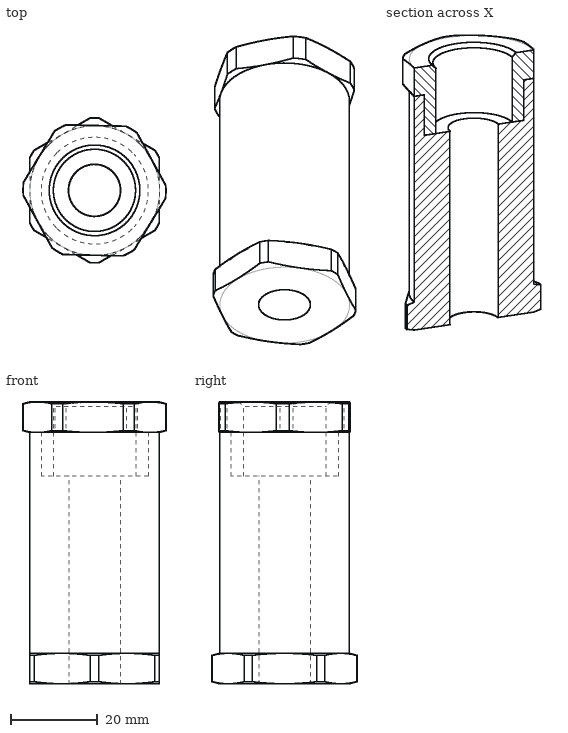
import cadquery as cq
import math

TOTAL_HEIGHT = 65.0
BODY_DIAMETER = 29.95

HEAD_HEIGHT = 7.0
ACROSS_FLATS = 29.95
ACROSS_CORNERS = ACROSS_FLATS / math.cos(math.pi / 6)
BASE_CORNER_DIAMETER = 33.5
CAP_CORNER_DIAMETER = 33.0
HEAD_CHAMFER_ANGLE = 15.0
BASE_TURN = 90.0
CAP_TURN = -1.3

THROUGH_BORE = 11.95
CAP_BORE = 19.0
BORE_CHAMFER = 1.0
SPIGOT_DIAMETER = 24.7
SPIGOT_LENGTH = 10.0

SEAT_HEIGHT = TOTAL_HEIGHT - HEAD_HEIGHT
SPIGOT_END = SEAT_HEIGHT - SPIGOT_LENGTH


def cylinder(diameter, bottom, height):
    return cq.Workplane("XY").workplane(offset=bottom).circle(diameter / 2).extrude(height)


def hex_head(corner_diameter, turn, bottom):
    """Hexagon whose corners and both end faces are turned on a lathe."""
    hexagon = (
        cq.Workplane("XY")
        .polygon(6, ACROSS_CORNERS)
        .extrude(HEAD_HEIGHT)
        .rotate((0, 0, 0), (0, 0, 1), turn)
    )
    face_radius = BODY_DIAMETER / 2
    corner_radius = corner_diameter / 2
    chamfer_height = (corner_radius - face_radius) * math.tan(math.radians(HEAD_CHAMFER_ANGLE))
    turned_blank = (
        cq.Workplane("XZ")
        .moveTo(0, 0)
        .lineTo(face_radius, 0)
        .lineTo(corner_radius, chamfer_height)
        .lineTo(corner_radius, HEAD_HEIGHT - chamfer_height)
        .lineTo(face_radius, HEAD_HEIGHT)
        .lineTo(0, HEAD_HEIGHT)
        .close()
        .revolve(360, (0, 0, 0), (0, 1, 0))
    )
    return hexagon.intersect(turned_blank).translate((0, 0, bottom))


def make_housing():
    """Tube with a hexagonal base, a through bore and a recess for the cap spigot."""
    tube = cylinder(BODY_DIAMETER, HEAD_HEIGHT, SEAT_HEIGHT - HEAD_HEIGHT)
    base = hex_head(BASE_CORNER_DIAMETER, BASE_TURN, 0)
    through_bore = cylinder(THROUGH_BORE, 0, SEAT_HEIGHT)
    spigot_recess = cylinder(SPIGOT_DIAMETER, SPIGOT_END, SPIGOT_LENGTH)
    return base.union(tube).cut(through_bore).cut(spigot_recess)


def make_cap():
    """Hexagonal cap with a spigot and a bore chamfered at its mouth."""
    head = hex_head(CAP_CORNER_DIAMETER, CAP_TURN, SEAT_HEIGHT)
    spigot = cylinder(SPIGOT_DIAMETER, SPIGOT_END, SPIGOT_LENGTH)
    bore = cylinder(CAP_BORE, SPIGOT_END, TOTAL_HEIGHT - SPIGOT_END)
    bored_cap = head.union(spigot).cut(bore)
    bore_mouth = cq.selectors.RadiusNthSelector(0)
    return bored_cap.faces(">Z").edges(bore_mouth).chamfer(BORE_CHAMFER)


housing = make_housing()
cap = make_cap()

result = cq.Compound.makeCompound([housing.val(), cap.val()])